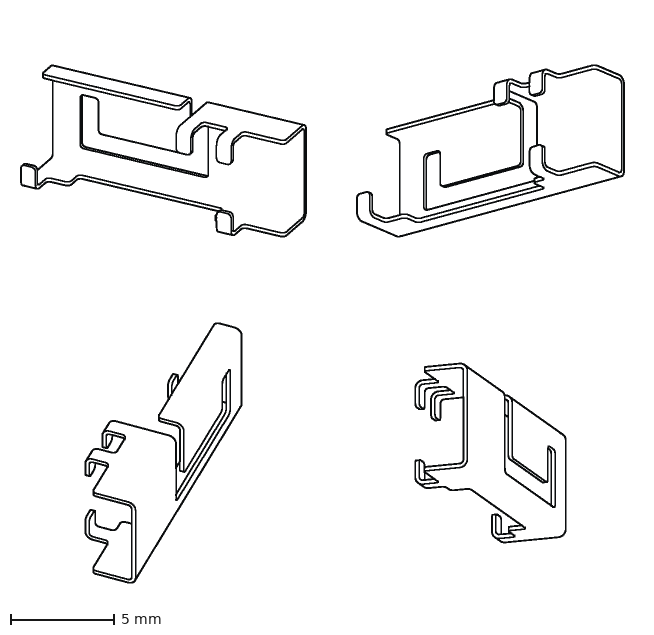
import cadquery as cq

length = 13.75
depth = 3.53
height = 5.22

thickness = 0.2
bend_radius = 0.4
corner_radius = 0.2

tab_width = 0.8
lip_height = 1.28
middle_tab_start = 10.7

slot_width = 1.0
slot_start = 1.5
tongue_length = 5.0
slot_end = 8.5
slot_floor = 1.05
slot_ceiling = height - lip_height
tongue_start = slot_start + slot_width
tongue_end = tongue_start + tongue_length
tongue_tip = slot_floor + slot_width

tongue_flange_depth = 1.38
narrow_flange_depth = 1.29
top_flange_depth = 2.27
bottom_shelf_depth = 2.28

left_shelf_end = 2.0
right_shelf_start = middle_tab_start - tab_width

middle_tab_end = middle_tab_start + tab_width
mid_height = height / 2
margin = 2 * corner_radius
behind = margin
beyond_front = -depth - margin


def rounded_plan(points, bottom):
    """Half-height prism over a plan outline, with all its upright edges rounded."""
    prism = cq.Workplane("XY").workplane(offset=bottom).polyline(points).close().extrude(mid_height)
    return prism.edges("|Z").fillet(corner_radius)


def bent_channel():
    """Full-length C channel with lips, before the flanges are trimmed."""
    outside = cq.Workplane("XY").box(length, depth, height, centered=False)
    outside = outside.edges("|X").fillet(bend_radius)
    inside = (
        cq.Workplane("XY")
        .box(length, depth - 2 * thickness, height - 2 * thickness, centered=False)
        .edges("|X").fillet(bend_radius - thickness)
        .translate((0, thickness, thickness))
    )
    mouth = cq.Workplane("XY").box(length, depth / 2, height - 2 * lip_height, centered=False)
    channel = outside.cut(inside).cut(mouth.translate((0, 0, lip_height)))
    return channel.translate((0, -depth, 0))


def top_plan():
    """Tongue flange on the left; wide flange with two tabs on the right."""
    tongue_flange = rounded_plan(
        [
            (0, behind),
            (0, -tongue_flange_depth),
            (tongue_end, -tongue_flange_depth),
            (tongue_end, behind),
        ],
        mid_height,
    )
    tabbed_flange = rounded_plan(
        [
            (slot_end, behind),
            (slot_end, beyond_front),
            (slot_end + tab_width, beyond_front),
            (slot_end + tab_width, -top_flange_depth),
            (middle_tab_start, -top_flange_depth),
            (middle_tab_start, beyond_front),
            (middle_tab_end, beyond_front),
            (middle_tab_end, -top_flange_depth),
            (length, -top_flange_depth),
            (length, behind),
        ],
        mid_height,
    )
    return tongue_flange.union(tabbed_flange)


def bottom_plan():
    """One flange with a tabbed shelf at each end and a narrow stretch between them."""
    return rounded_plan(
        [
            (0, behind),
            (0, beyond_front),
            (tab_width, beyond_front),
            (tab_width, -bottom_shelf_depth),
            (left_shelf_end, -bottom_shelf_depth),
            (left_shelf_end, -narrow_flange_depth),
            (right_shelf_start, -narrow_flange_depth),
            (right_shelf_start, -bottom_shelf_depth),
            (middle_tab_start, -bottom_shelf_depth),
            (middle_tab_start, beyond_front),
            (middle_tab_end, beyond_front),
            (middle_tab_end, -bottom_shelf_depth),
            (length, -bottom_shelf_depth),
            (length, behind),
        ],
        0,
    )


def tongue_slot():
    """U-shaped cutter around the tongue, as deep as the back wall."""
    outline = [
        (slot_start, slot_floor),
        (slot_end, slot_floor),
        (slot_end, height + margin),
        (tongue_end, height + margin),
        (tongue_end, tongue_tip),
        (tongue_start, tongue_tip),
        (tongue_start, slot_ceiling),
        (slot_start, slot_ceiling),
    ]
    cutter = cq.Workplane("XZ").polyline(outline).close().extrude(thickness)
    return cutter.edges("|Y").fillet(corner_radius)


channel = bent_channel()
result = channel.intersect(top_plan()).union(channel.intersect(bottom_plan()))

lip_tips = cq.selectors.BoxSelector(
    (-margin, -depth, bend_radius),
    (length, thickness - depth, height - bend_radius),
)
result = result.edges("|Y").edges(lip_tips).fillet(corner_radius)

result = result.cut(tongue_slot())